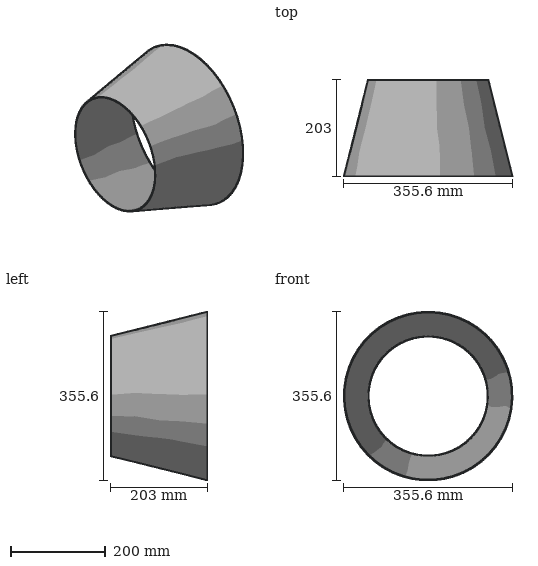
import cadquery as cq

large_outer_diameter = 355.6
small_outer_diameter = 254.0
wall_thickness = 2.0
length = 203.0


def frustum(large_diameter, small_diameter):
    """Solid cone frustum on the Y axis, tapering from the large end towards +Y."""
    large_radius = large_diameter / 2
    small_radius = small_diameter / 2
    return cq.Workplane(
        cq.Solid.makeCone(
            large_radius, small_radius, length, pnt=cq.Vector(0, 0, 0), dir=cq.Vector(0, 1, 0)
        )
    )


outer_cone = frustum(large_outer_diameter, small_outer_diameter)
inner_cone = frustum(
    large_outer_diameter - 2 * wall_thickness,
    small_outer_diameter - 2 * wall_thickness,
)

result = outer_cone.cut(inner_cone)